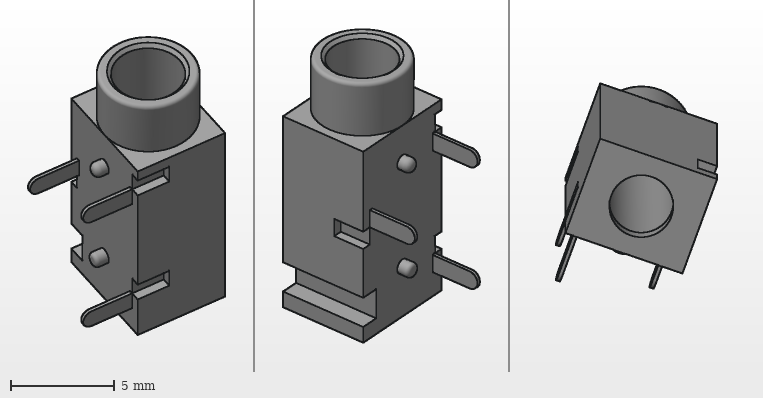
import cadquery as cq

total_height = 14.0
collar_height = 3.0
body_height = total_height - collar_height
body_width = 6.0
body_depth = 5.0
front = -body_depth / 2
half_width = body_width / 2

collar_diameter = body_depth
collar_rounding = 0.2
bore_diameter = 3.6
bore_chamfer = 0.2
end_hole_diameter = 3.1

lip_height = 0.91
slot_height = 1.68
slot_depth = 1.0

terminal_length = 2.8
terminal_width = 1.0
terminal_thickness = 0.2
pocket_inset = 0.5
pocket_height = terminal_width
pocket_depth = 1.8
left_terminal_base = 6.4
right_terminal_bases = [1.4, 8.4]

peg_diameter = 0.8
peg_length = 0.7
upper_peg_z = 8.9
lower_peg_z = 2.9
upper_peg_rounding = 0.31
lower_peg_rounding = 0.2


def box(x_min, x_max, y_min, y_max, z_min, z_max):
    """Axis-aligned box between the given limits."""
    size = (x_max - x_min, y_max - y_min, z_max - z_min)
    return cq.Workplane("XY").box(*size, centered=False).translate((x_min, y_min, z_min))


def housing():
    """Body block and collar, before the bore is cut."""
    block = box(-half_width, half_width, front, -front, 0, body_height)
    collar = (
        cq.Workplane("XY")
        .circle(collar_diameter / 2)
        .extrude(total_height)
        .faces(">Z")
        .edges()
        .fillet(collar_rounding)
    )
    return block.union(collar)


def bore():
    """Plug bore with a chamfered mouth and a narrower hole through the end wall."""
    bore_radius = bore_diameter / 2
    end_radius = end_hole_diameter / 2
    half_section = [
        (0, 0),
        (end_radius, 0),
        (end_radius, lip_height),
        (bore_radius, lip_height),
        (bore_radius, total_height - bore_chamfer),
        (bore_radius + bore_chamfer, total_height),
        (0, total_height),
    ]
    return cq.Workplane("XZ").polyline(half_section).close().revolve(360, (0, 0), (0, 1))


def side_slot():
    """Slot running the full depth of the left side."""
    slot_top = lip_height + slot_height
    return box(-half_width, slot_depth - half_width, front, -front, lip_height, slot_top)


def pocket(side, base_z):
    """Pocket at a front corner; side is -1 for left and 1 for right."""
    inner, outer = half_width - pocket_inset, half_width
    x_min, x_max = sorted((side * inner, side * outer))
    return box(x_min, x_max, front, front + pocket_depth, base_z, base_z + pocket_height)


def terminal(side, base_z):
    """Terminal whose outer face is flush with the pocket wall and whose tip is a half circle."""
    outer = half_width - pocket_inset
    x_min, x_max = sorted((side * (outer - terminal_thickness), side * outer))
    tip_radius = terminal_width / 2
    tip_y = front - terminal_length + tip_radius
    root_y = front + pocket_depth
    blade = box(x_min, x_max, tip_y, root_y, base_z, base_z + terminal_width)
    tip = (
        cq.Workplane("YZ", origin=(x_min, tip_y, base_z + tip_radius))
        .circle(tip_radius)
        .extrude(terminal_thickness)
    )
    return blade.union(tip)


def peg(z, rounding):
    """Round-ended locating peg standing on the front face."""
    return (
        cq.Workplane("XZ", origin=(0, front, z))
        .circle(peg_diameter / 2)
        .extrude(peg_length)
        .faces("<Y")
        .edges()
        .fillet(rounding)
    )


result = housing().cut(bore()).cut(side_slot())

result = result.cut(pocket(-1, left_terminal_base - pocket_height))
result = result.union(terminal(-1, left_terminal_base))
for base in right_terminal_bases:
    result = result.cut(pocket(1, base + terminal_width))
    result = result.union(terminal(1, base))

result = result.union(peg(upper_peg_z, upper_peg_rounding))
result = result.union(peg(lower_peg_z, lower_peg_rounding))